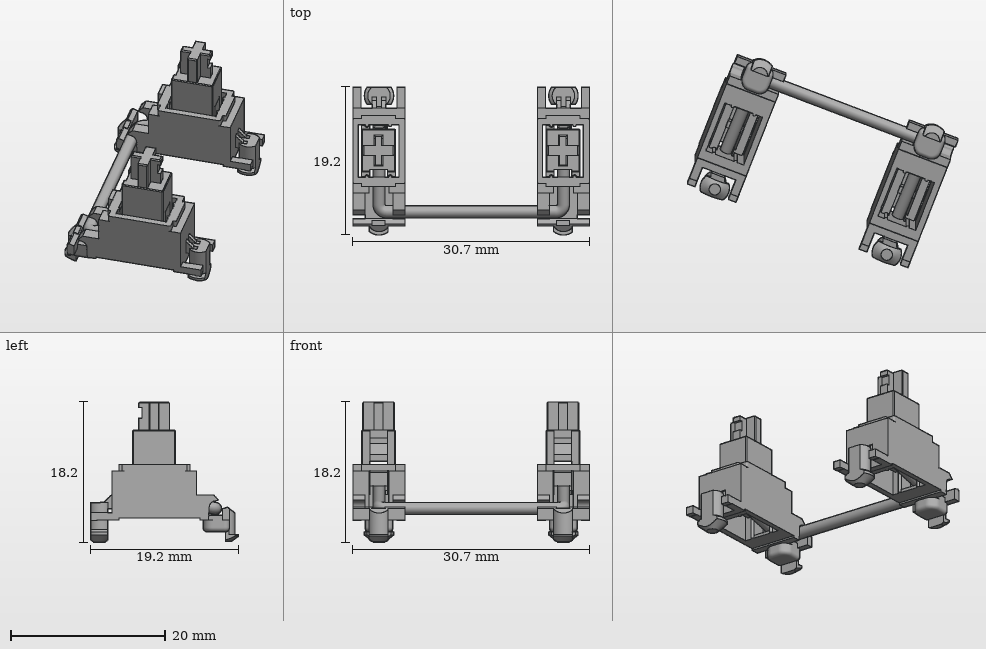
import cadquery as cq
import math


total_length = 30.7
total_height = 18.2
housing_width = 6.8
module_offset = (total_length - housing_width) / 2
well_x = -0.05

wire_diameter = 1.6
wire_y = -7.9
wire_z = 4.4
wire_bend_radius = 1.0
wire_tilt = 14.0
wire_leg_end_y = 3.15

block_front = -5.45
block_rear = 5.55
block_bottom = 3.13
block_top = 9.27
foot_bottom = 2.9
front_foot_start = -5.85
rear_foot_start = 4.6
collar_top = 10.1
collar_depth = 8.4
collar_corner_radius = 0.2
collar_tab_width = 4.42
collar_tab_depth = 9.25
tab_corner_radius = 0.12
well_width = 5.25
well_depth = 6.75
rib_spacing = 3.0
rib_radius = 0.2

arm_gap = 3.62
arm_top = 6.17
arm_slope_start = -7.65
arm_tip_y = -8.3
arm_tip_z = 5.5
arm_root_y = -7.0
seat_diameter = 1.7
seat_y = -7.92
seat_z = 4.5
slot_width = 2.58
floor_top = 3.53
boss_rear = -6.3
boss_bottom = 1.35
boss_rear_radius = 1.23
boss_front_radius = 0.7
boss_edge_radius = 0.52
bar_rear = -8.78
bar_front = -9.73
bar_edge_z = 4.35
bar_ridge_y = -9.45
bar_ridge_z = 4.57
bar_notch_width = 1.72
bar_notch_front = -9.67
bar_notch_rear = -9.0

clip_shank_diameter = 2.92
clip_rim_diameter = 3.85
rim_height = 0.37

front_clip_y = -9.0
front_clip_width = 2.45
front_clip_rear = -9.18
front_clip_bottom = 0.12
front_clip_tip_diameter = 2.0
front_rim_top = 1.0
front_rim_edge = 0.2

rear_end = 8.3
rear_clip_depth = 2.25
rear_clip_y = rear_end - rear_clip_depth / 2
rear_clip_top = 5.15
rear_clip_tip_diameter = 1.47
rear_rim_bottom = 0.95
rear_rim_flare = 0.35
neck_bottom = 4.33
neck_width = 1.78
web_thickness = 0.55
web_root_z = 6.2
web_tip_y = 7.03
web_tip_z = 5.22
web_slope_end_y = 6.57
ledge_rear = 5.8

prong_width = 1.07
prong_top = 3.87
prong_pad_bottom = 2.82
prong_pad_start = 7.5

stem_width = 4.42
stem_depth = 5.6
stem_y = 0.05
stem_top = 14.55
stem_bottom = 6.23
stem_edge = 0.12
channel_width = 2.27
channel_recess = 0.3
window_top = 13.5
shelf_z = 11.35
shelf_depth = 2.45
slope_top_z = 12.8
channel_roof = 10.5
bridge_top = 9.1
bridge_bottom = 7.35
bridge_front = -0.6
bridge_depth = 0.92
toe_top = 6.75
toe_reach = 3.35
toe_groove_radius = 0.28
inner_toe_width = 0.2
inner_toe_front = 2.45
cross_width = 4.1
cross_depth = 4.0
cross_arm_x_thickness = 1.32
cross_arm_y_thickness = 1.15
cross_edge = 0.15
cross_corner = 0.12
notch_bottom = 16.12
notch_top = 17.47
notch_depth = 0.4


def block(x_low, x_high, y_low, y_high, z_low, z_high):
    """Box between opposite corners."""
    size = (x_high - x_low, y_high - y_low, z_high - z_low)
    return cq.Workplane("XY").box(*size, centered=False).translate((x_low, y_low, z_low))


def centred_block(x_middle, width, y_low, y_high, z_low, z_high):
    """Box of a given width about x_middle."""
    return block(x_middle - width / 2, x_middle + width / 2, y_low, y_high, z_low, z_high)


def side_extrusion(points, x_middle, width):
    """Closed outline of (y, z) points, extruded along X about x_middle."""
    outline = cq.Workplane("YZ", origin=(x_middle, 0, 0)).polyline(points).close()
    return outline.extrude(width / 2, both=True)


def turned(profile, y_axis):
    """Closed outline of (radius, z) points, turned about a vertical axis at y_axis."""
    outline = cq.Workplane("XZ", origin=(0, y_axis, 0)).polyline(profile).close()
    return outline.revolve(360, (0, 0), (0, 1))


def housing_walls():
    """Main block with its stepped collar."""
    walls = centred_block(0, housing_width, block_front, block_rear, foot_bottom, block_top)
    collar = (
        cq.Workplane("XY", origin=(0, 0, block_bottom))
        .rect(housing_width, collar_depth)
        .extrude(collar_top - block_bottom)
        .edges("|Z")
        .fillet(collar_corner_radius)
    )
    tab = centred_block(
        well_x, collar_tab_width, -collar_tab_depth / 2, collar_tab_depth / 2, block_bottom, collar_top
    )
    return walls.union(collar).union(tab.edges("|Z").fillet(tab_corner_radius))


def front_arms():
    """Pair of arms beside the front slot, each with a rounded seat under its tip for the wire."""
    seat_radius = seat_diameter / 2
    seat_mid = seat_radius * math.sqrt(0.5)
    profile = (
        cq.Workplane("YZ")
        .moveTo(block_front, foot_bottom)
        .lineTo(block_front, arm_top)
        .lineTo(arm_slope_start, arm_top)
        .lineTo(arm_tip_y, arm_tip_z)
        .lineTo(seat_y, seat_z + seat_radius)
        .threePointArc((seat_y + seat_mid, seat_z + seat_mid), (seat_y + seat_radius, seat_z))
        .lineTo(arm_root_y, foot_bottom)
        .close()
    )
    gap = centred_block(0, arm_gap, bar_front, block_front, floor_top, arm_top)
    return profile.extrude(housing_width / 2, both=True).cut(gap)


def floor_and_boss():
    """Floor under the wire and the rounded boss that hangs below it."""
    floor = centred_block(0, arm_gap, bar_rear, block_front, foot_bottom, floor_top)
    boss = (
        centred_block(0, arm_gap, bar_front, boss_rear, boss_bottom, foot_bottom)
        .edges("|Z and >Y")
        .fillet(boss_rear_radius)
        .edges("|Z and <Y")
        .fillet(boss_front_radius)
        .faces("<Z")
        .edges()
        .fillet(boss_edge_radius)
    )
    return floor.union(boss)


def front_bar():
    """Cross bar in front of the wire, with a ridged top."""
    return side_extrusion(
        [
            (bar_rear, foot_bottom),
            (bar_rear, bar_edge_z),
            (bar_ridge_y, bar_ridge_z),
            (bar_front, bar_edge_z),
            (bar_front, foot_bottom),
        ],
        0,
        housing_width,
    )


def front_clip():
    """Half-round post on the bar: sloping top, and a rim with a tapered lead-in below."""
    shank = clip_shank_diameter / 2
    rim = clip_rim_diameter / 2
    slope = (bar_ridge_z - bar_edge_z) / (bar_ridge_y - bar_front)
    clip = turned(
        [
            (0, front_clip_bottom),
            (front_clip_tip_diameter / 2, front_clip_bottom),
            (rim, front_rim_top - front_rim_edge),
            (rim, front_rim_top),
            (shank, front_rim_top),
            (shank, bar_ridge_z),
            (0, bar_ridge_z),
        ],
        front_clip_y,
    )
    front_limit = front_clip_y - rim
    kept = side_extrusion(
        [
            (front_clip_rear, front_clip_bottom),
            (front_clip_rear, bar_edge_z),
            (bar_ridge_y, bar_ridge_z),
            (front_limit, bar_ridge_z - (bar_ridge_y - front_limit) * slope),
            (front_limit, front_clip_bottom),
        ],
        well_x,
        front_clip_width,
    )
    return clip.intersect(kept)


def rear_clip():
    """Flat-sided round post behind the block, with a flared rim and a tapered tip."""
    shank = clip_shank_diameter / 2
    rim = clip_rim_diameter / 2
    rim_top = rear_rim_bottom + rim_height
    clip = turned(
        [
            (0, 0),
            (rear_clip_tip_diameter / 2, 0),
            (rim, rear_rim_bottom),
            (rim, rim_top),
            (shank, rim_top + rear_rim_flare),
            (shank, rear_clip_top),
            (0, rear_clip_top),
        ],
        rear_clip_y,
    )
    flats = centred_block(0, clip_rim_diameter, rear_end - rear_clip_depth, rear_end, 0, rear_clip_top)
    return clip.intersect(flats)


def rear_clip_neck():
    """Neck from the block to the rear clip, stiffened by two sloping webs."""
    neck = centred_block(0, neck_width, block_rear, rear_clip_y, neck_bottom, rear_clip_top)
    neck = neck.union(centred_block(0, neck_width, block_rear, ledge_rear, neck_bottom, web_tip_z))
    for side in (-1, 1):
        web = side_extrusion(
            [
                (block_rear, neck_bottom),
                (block_rear, web_root_z),
                (web_slope_end_y, web_tip_z),
                (web_tip_y, web_tip_z),
                (web_tip_y, neck_bottom),
            ],
            side * (neck_width - web_thickness) / 2,
            web_thickness,
        )
        neck = neck.union(web)
    return neck


def rear_prongs():
    """Two flat prongs beside the rear clip, each with a shallow pad under its end."""
    prongs = []
    for side in (-1, 1):
        x_middle = side * (housing_width - prong_width) / 2
        prong = centred_block(x_middle, prong_width, block_rear, rear_end, foot_bottom, prong_top)
        pad = centred_block(x_middle, prong_width, prong_pad_start, rear_end, prong_pad_bottom, foot_bottom)
        prongs.append(prong.union(pad))
    return prongs


def well_ribs(radius, z_low, z_high):
    """Vertical half-round ribs on the front and rear walls of the well."""
    return (
        cq.Workplane("XY", origin=(well_x, 0, z_low))
        .rect(rib_spacing, well_depth, forConstruction=True)
        .vertices()
        .circle(radius)
        .extrude(z_high - z_low)
    )


def make_housing():
    """Housing with its open well, front slot for the wire leg, notched bar and clips."""
    housing = housing_walls()
    front_parts = [front_arms(), floor_and_boss(), front_bar(), front_clip()]
    rear_parts = [rear_clip(), rear_clip_neck(), *rear_prongs()]
    for part in front_parts + rear_parts:
        housing = housing.union(part)
    relief = centred_block(0, housing_width, front_foot_start, rear_foot_start, foot_bottom, block_bottom)
    well = centred_block(well_x, well_width, -well_depth / 2, well_depth / 2, foot_bottom, collar_top)
    slot = centred_block(0, slot_width, block_front, 0, floor_top, block_top)
    bar_notch = centred_block(
        well_x, bar_notch_width, bar_notch_front, bar_notch_rear, bar_edge_z, bar_ridge_z
    )
    housing = housing.cut(relief).cut(well).cut(slot).cut(bar_notch)
    return housing.union(well_ribs(rib_radius, block_bottom, collar_top))


def make_stem():
    """Sliding stem: a box with a windowed front and a through channel over the wire leg."""
    half_depth = stem_depth / 2
    front = stem_y - half_depth
    rear = stem_y + half_depth
    web_face = front + channel_recess
    shelf_rear = web_face + shelf_depth
    window_rear = shelf_rear + slope_top_z - shelf_z
    body = (
        centred_block(well_x, stem_width, front, rear, stem_bottom, stem_top)
        .edges("|Z")
        .chamfer(stem_edge)
        .faces(">Z")
        .edges()
        .chamfer(stem_edge)
    )
    recess = centred_block(well_x, channel_width, front, web_face, stem_bottom, stem_top)
    window = side_extrusion(
        [
            (front, window_top),
            (window_rear, window_top),
            (window_rear, slope_top_z),
            (shelf_rear, shelf_z),
            (front, shelf_z),
        ],
        well_x,
        channel_width,
    )
    channel = centred_block(well_x, channel_width, front, rear, stem_bottom, channel_roof)
    bridge = centred_block(
        well_x, channel_width, bridge_front, bridge_front + bridge_depth, bridge_bottom, bridge_top
    )
    body = body.cut(recess).cut(window).cut(channel).union(bridge)
    return body.union(stem_toes()).union(stem_cross()).cut(cross_notch())


def stem_toes():
    """Toes at the foot of the stem, grooved for the ribs: two in front and one at the rear left.

    The rear right leg has a narrow toe on its inner side instead.
    """
    toe_width = (stem_width - channel_width) / 2
    toes = cq.Workplane("XY")
    for x_side, y_side in ((-1, -1), (1, -1), (-1, 1)):
        x_middle = well_x + x_side * (channel_width + toe_width) / 2
        y_near, y_far = sorted((0, y_side * toe_reach))
        toes = toes.union(centred_block(x_middle, toe_width, y_near, y_far, stem_bottom, toe_top))
    inner_x = well_x + (channel_width - inner_toe_width) / 2
    inner_toe = centred_block(inner_x, inner_toe_width, inner_toe_front, toe_reach, stem_bottom, toe_top)
    return toes.cut(well_ribs(toe_groove_radius, stem_bottom, toe_top)).union(inner_toe)


def stem_cross():
    """Cross-shaped keycap mount on top of the stem."""
    height = total_height - stem_top
    base = cq.Workplane("XY", origin=(well_x, stem_y, stem_top))
    along_x = base.rect(cross_width, cross_arm_x_thickness).extrude(height)
    along_y = base.rect(cross_arm_y_thickness, cross_depth).extrude(height)
    along_x = along_x.edges("|Z").chamfer(cross_corner).faces(">Z").edges("|Y").chamfer(cross_edge)
    return along_x.union(along_y.faces(">Z").edges().chamfer(cross_edge))


def cross_notch():
    """Notch in the end of the rear cross arm."""
    arm_end = stem_y + cross_depth / 2
    return centred_block(
        well_x, cross_arm_y_thickness, arm_end - notch_depth, arm_end, notch_bottom, notch_top
    )


def make_wire():
    """Round wire with two legs that tilt up towards the rear, bent in the tilted plane."""
    tilt = math.radians(wire_tilt)
    half_span = module_offset
    leg_length = (wire_leg_end_y - wire_y) / math.cos(tilt)
    bend = wire_bend_radius
    bend_mid = bend * (1 - math.sqrt(0.5))
    plane = cq.Plane(
        origin=(0, wire_y, wire_z), xDir=(1, 0, 0), normal=(0, -math.sin(tilt), math.cos(tilt))
    )
    path = (
        cq.Workplane(plane)
        .moveTo(-half_span, leg_length)
        .lineTo(-half_span, bend)
        .threePointArc((-half_span + bend_mid, bend_mid), (-half_span + bend, 0))
        .lineTo(half_span - bend, 0)
        .threePointArc((half_span - bend_mid, bend_mid), (half_span, bend))
        .lineTo(half_span, leg_length)
    )
    end = cq.Plane(
        origin=plane.toWorldCoords((-half_span, leg_length)).toTuple(),
        xDir=(1, 0, 0),
        normal=(0, -math.cos(tilt), -math.sin(tilt)),
    )
    return cq.Workplane(end).circle(wire_diameter / 2).sweep(path)


wire = make_wire()
housings = []
stems = []
for side in (-1, 1):
    shift = (side * module_offset, 0, 0)
    housings.append(make_housing().translate(shift))
    stems.append(make_stem().translate(shift))

result = cq.Compound.makeCompound([wire.val(), *[h.val() for h in housings], *[s.val() for s in stems]])